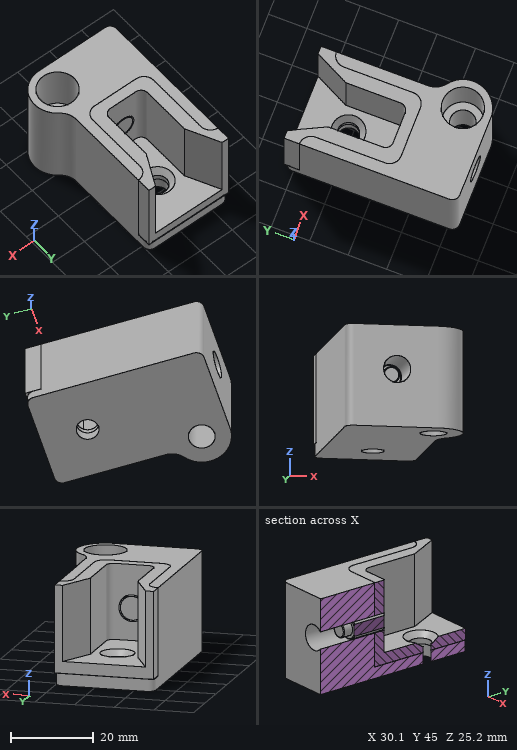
import cadquery as cq
import math

length = 45.05
width = 25.05
height = 25.2
overall_width = 30.05
mid_x = width / 2
corner_radius = 2.0

ear_radius = 7.25
ear_x = overall_width - ear_radius
ear_y = ear_radius
ear_blend_radius = 5.0
ear_hole_diameter = 6.5
ear_bore_diameter = 10.5
ear_bore_depth = 12.6

liner_wall = 3.0
liner_width = 19.05
liner_radius = 3.0
liner_bottom = 3.15
liner_flange = 4.05
block_back_gap = 0.15
liner_floor = 3.0
slot_width = 12.0
slot_front = 19.85
slot_radius = 2.0
mouth_width = 20.9
mouth_depth = 9.0

screw_y = 33.05
screw_diameter = 5.5
countersink_diameter = 8.5

pin_z = 14.25
pin_hole_diameter = 6.65
pin_diameter = 6.0
pin_nose_diameter = 4.0
pin_front = 7.65
pin_nose_length = 2.7
pin_chamfer = 0.23

liner_front = slot_front - liner_wall
liner_left = mid_x - liner_width / 2
liner_right = mid_x + liner_width / 2
flange_front = length - liner_flange
block_back = length - block_back_gap
slot_floor = liner_bottom + liner_floor


def cylinder_z(diameter, x, y, bottom, top):
    return cq.Workplane("XY", origin=(x, y, bottom)).circle(diameter / 2).extrude(top - bottom)


def cylinder_y(diameter, front, back):
    """Cylinder on the pin axis, running from front to back."""
    plane = cq.Plane(origin=(mid_x, front, pin_z), xDir=(1, 0, 0), normal=(0, 1, 0))
    return cq.Workplane(plane).circle(diameter / 2).extrude(back - front)


def make_liner_envelope():
    """Outside of the liner: a rounded tongue flaring into the back flange."""
    flare_y = flange_front - liner_radius
    outline = (
        cq.Workplane("XY", origin=(0, 0, liner_bottom))
        .moveTo(0, length)
        .lineTo(0, flange_front)
        .radiusArc((liner_left, flare_y), liner_radius)
        .lineTo(liner_left, liner_front + liner_radius)
        .radiusArc((liner_left + liner_radius, liner_front), -liner_radius)
        .lineTo(liner_right - liner_radius, liner_front)
        .radiusArc((liner_right, liner_front + liner_radius), -liner_radius)
        .lineTo(liner_right, flare_y)
        .radiusArc((width, flange_front), liner_radius)
        .lineTo(width, length)
        .close()
    )
    return outline.extrude(height - liner_bottom)


def make_slot():
    """Slot open at the top and back, widening into a tapered mouth."""
    slot_height = height - slot_floor
    channel = (
        cq.Workplane("XY", origin=(0, 0, slot_floor))
        .moveTo(mid_x - slot_width / 2, slot_front)
        .lineTo(mid_x + slot_width / 2, slot_front)
        .lineTo(mid_x + slot_width / 2, length)
        .lineTo(mid_x - slot_width / 2, length)
        .close()
        .extrude(slot_height)
        .edges("|Z and <Y")
        .fillet(slot_radius)
    )
    mouth = (
        cq.Workplane("XY", origin=(0, 0, slot_floor))
        .moveTo(mid_x - slot_width / 2, length - mouth_depth)
        .lineTo(mid_x + slot_width / 2, length - mouth_depth)
        .lineTo(mid_x + mouth_width / 2, length)
        .lineTo(mid_x - mouth_width / 2, length)
        .close()
        .extrude(slot_height)
    )
    return channel.union(mouth)


def make_block():
    blend_x = width + ear_blend_radius
    centre_distance = ear_radius + ear_blend_radius
    blend_y = ear_y + math.sqrt(centre_distance**2 - (blend_x - ear_x) ** 2)
    ear_share = ear_radius / centre_distance
    ear_tangent = (
        ear_x + (blend_x - ear_x) * ear_share,
        ear_y + (blend_y - ear_y) * ear_share,
    )
    body = (
        cq.Workplane("XY")
        .moveTo(corner_radius, 0)
        .lineTo(ear_x, 0)
        .threePointArc((ear_x + ear_radius, ear_y), ear_tangent)
        .radiusArc((width, blend_y), ear_blend_radius)
        .lineTo(width, block_back - corner_radius)
        .radiusArc((width - corner_radius, block_back), -corner_radius)
        .lineTo(corner_radius, block_back)
        .radiusArc((0, block_back - corner_radius), -corner_radius)
        .lineTo(0, corner_radius)
        .radiusArc((corner_radius, 0), -corner_radius)
        .close()
        .extrude(height)
    )
    return (
        body.cut(make_liner_envelope())
        .cut(cylinder_z(ear_hole_diameter, ear_x, ear_y, 0, height))
        .cut(cylinder_z(ear_bore_diameter, ear_x, ear_y, height - ear_bore_depth, height))
        .cut(cylinder_z(screw_diameter, mid_x, screw_y, 0, liner_bottom))
        .cut(cylinder_y(pin_hole_diameter, 0, slot_front))
    )


def make_liner():
    countersink_depth = (countersink_diameter - screw_diameter) / 2
    countersink = cq.Workplane(
        cq.Solid.makeCone(
            screw_diameter / 2,
            countersink_diameter / 2,
            countersink_depth,
            pnt=cq.Vector(mid_x, screw_y, slot_floor - countersink_depth),
        )
    )
    return (
        make_liner_envelope()
        .cut(make_slot())
        .cut(cylinder_z(screw_diameter, mid_x, screw_y, liner_bottom, slot_floor))
        .cut(countersink)
        .cut(cylinder_y(pin_hole_diameter, 0, slot_front))
    )


def make_pin():
    """Pin ending flush with the slot wall, with a narrower nose at the front."""
    shoulder = pin_front + pin_nose_length
    shank = cylinder_y(pin_diameter, shoulder, slot_front).faces("<Y").chamfer(pin_chamfer)
    nose = cylinder_y(pin_nose_diameter, pin_front, shoulder).faces("<Y").chamfer(pin_chamfer)
    return shank.union(nose)


block = make_block()
liner = make_liner()
pin = make_pin()

result = cq.Compound.makeCompound([block.val(), liner.val(), pin.val()])